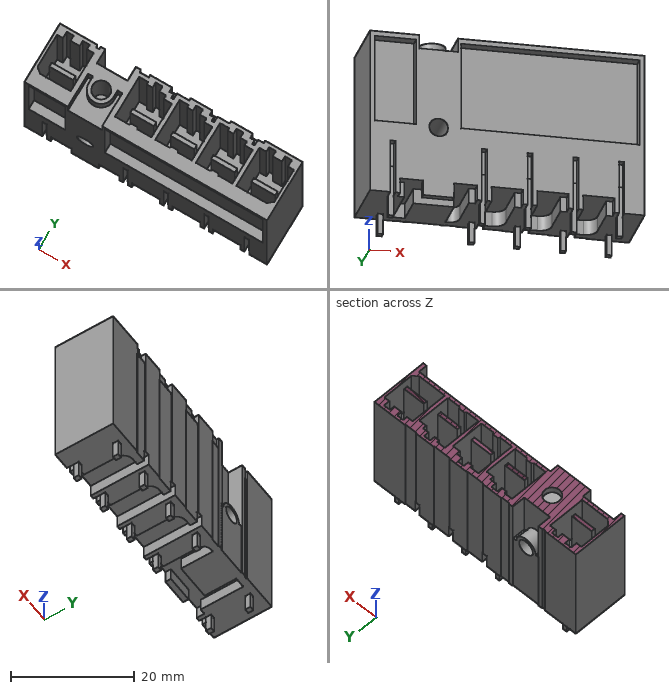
import cadquery as cq


LENGTH = 45.7
DEPTH = 11.4
TOTAL_HEIGHT = 31.8
PIN_DROP = 3.5
HEIGHT = TOTAL_HEIGHT - PIN_DROP
POSITIONS = 6
PITCH = LENGTH / POSITIONS
FLANGE_X = 1.5 * PITCH
FIRST_POLE_X = 0.5 * PITCH
INNER_POLES_X = [(n + 0.5) * PITCH for n in (2, 3, 4)]
LAST_POLE_X = LENGTH - FIRST_POLE_X
POLES_X = [FIRST_POLE_X, *INNER_POLES_X, LAST_POLE_X]

BLADE_WIDTH = 4.5
BLADE_THICKNESS = 0.8
BLADE_TOP_DEPTH = 4.55
BLADE_TOP = HEIGHT - BLADE_TOP_DEPTH
PIN_WIDTH = 0.85
PIN_DEPTH = 1.0
PIN_FRONT = 1.33
CROSSBAR_TOP = 5.15
BLADE_Y = DEPTH / 2
PIN_BACK = DEPTH - PIN_FRONT
PIN_SLOT_TOP = 9.15

WINDOW_BOTTOM = 12.45
POCKET_FLOOR = WINDOW_BOTTOM
POCKET_FRONT = 2.45
POCKET_HALF = 3.45
KEYWAY_BACK = 10.75
KEY_FACE = 9.75
END_POCKET_WALL = 0.55
END_CHAMFER_X = 0.95
END_CHAMFER_Y = 0.82
END_OUTER_BACK = 9.5
END_INNER_BACK = 9.88
KEYWAY_OFFSET = 1.5
KEYWAY_WIDTH = 1.3
INNER_LEFT_BACK = 10.2
INNER_LEFT_STEP = 1.75
INNER_RIGHT_BACK = 9.0
INNER_RIGHT_STEP = 1.87
RIB_BASE = 1.55
RIB_TOP = 1.2
RIB_HEIGHT = 0.3

WINDOW_DEPTH = 1.75
WINDOW_TOP_MARGIN = 0.85
WINDOW_END_MARGIN = 0.82
WINDOW_TO_FLANGE = 3.75

FLANGE_CUT_WIDTH = 6.45
FLANGE_CUT_BACK = 6.45
FLANGE_CUT_DEPTH = 2.4
SCREW_Y = 5.15
SCREW_BOSS_RADIUS = 2.35
SCREW_HOLE_RADIUS = 1.6
SCREW_HOLE_DEPTH = 9.15
CROSS_Z = 12.2
CROSS_HOLE_RADIUS = 1.55
CROSS_BOSS_RADIUS = 2.2
BACK_CUT_WIDTH = 5.75
BACK_CUT_FRONT = 8.7

BACK_GROOVE_DEPTH = 0.15
BACK_GROOVE_FLOOR = DEPTH - BACK_GROOVE_DEPTH
BACK_NOTCH_DEPTH = FLANGE_CUT_DEPTH
BACK_NOTCH_FLOOR = 10.93
BACK_STEP_FLOOR = 10.55
BACK_SLOT_FLOOR = 9.85
RIDGE_HALF = 2.05
END_RIDGE_HALF = 3.25
STEP_END = 2.85
SLOT_END = 3.3
FLANGE_NOTCH_LEFT = 3.8
END_NOTCH_WIDTH = 0.6

FOOT_HEIGHT = 2.55
FOOT_HALF = 1.2
FOOT_NECK_DEPTH = 1.5
FOOT_WIDE_HALF = 2.25
CAVITY_BACK = DEPTH - FOOT_NECK_DEPTH
CAVITY_FILLET = 1.9
FLANGE_CAVITY_FILLET = 1.6
GAP_END = 2.3
FLANGE_FOOT_HALF = 2.55
FLANGE_FOOT_DEPTH = 1.1
FLANGE_BLOCK_HALF = 3.4
FLANGE_BLOCK_FRONT = 3.65


def box(x0, x1, y0, y1, z0, z1):
    """Axis-aligned block between opposite corners."""
    return cq.Workplane("XY").box(x1 - x0, y1 - y0, z1 - z0, centered=False).translate((x0, y0, z0))


def prism(points, z0, z1):
    """Closed outline in X and Y, extruded from z0 to z1."""
    return cq.Workplane("XY").workplane(offset=z0).polyline(points).close().extrude(z1 - z0)


def end_pocket():
    """Pocket of the first pole, with two keyways and a chamfered outer corner."""
    left = END_POCKET_WALL
    right = FIRST_POLE_X + POCKET_HALF
    outer_key = FIRST_POLE_X - KEYWAY_OFFSET
    inner_key = FIRST_POLE_X + KEYWAY_OFFSET
    half_key = KEYWAY_WIDTH / 2
    outline = [
        (left + END_CHAMFER_X, POCKET_FRONT),
        (right, POCKET_FRONT),
        (right, END_INNER_BACK),
        (inner_key + half_key, END_INNER_BACK),
        (inner_key + half_key, KEYWAY_BACK),
        (inner_key - half_key, KEYWAY_BACK),
        (inner_key - half_key, KEY_FACE),
        (outer_key + half_key, KEY_FACE),
        (outer_key + half_key, KEYWAY_BACK),
        (outer_key - half_key, KEYWAY_BACK),
        (outer_key - half_key, END_OUTER_BACK),
        (left, END_OUTER_BACK),
        (left, POCKET_FRONT + END_CHAMFER_Y),
    ]
    return prism(outline, POCKET_FLOOR, HEIGHT)


def inner_pocket(x):
    """Pocket of an inner pole, with one keyway and a small rib on its front wall."""
    half_key = KEYWAY_WIDTH / 2
    outline = [
        (x - POCKET_HALF, POCKET_FRONT),
        (x - RIB_BASE / 2, POCKET_FRONT),
        (x - RIB_TOP / 2, POCKET_FRONT + RIB_HEIGHT),
        (x + RIB_TOP / 2, POCKET_FRONT + RIB_HEIGHT),
        (x + RIB_BASE / 2, POCKET_FRONT),
        (x + POCKET_HALF, POCKET_FRONT),
        (x + POCKET_HALF, INNER_RIGHT_BACK),
        (x + INNER_RIGHT_STEP, INNER_RIGHT_BACK),
        (x + INNER_RIGHT_STEP, KEY_FACE),
        (x + half_key, KEY_FACE),
        (x + half_key, KEYWAY_BACK),
        (x - half_key, KEYWAY_BACK),
        (x - half_key, KEY_FACE),
        (x - INNER_LEFT_STEP, KEY_FACE),
        (x - INNER_LEFT_STEP, INNER_LEFT_BACK),
        (x - POCKET_HALF, INNER_LEFT_BACK),
    ]
    return prism(outline, POCKET_FLOOR, HEIGHT)


def cut_pockets(body):
    first = end_pocket()
    last = first.mirror("YZ", (LENGTH / 2, 0, 0))
    body = body.cut(first).cut(last)
    for x in INNER_POLES_X:
        body = body.cut(inner_pocket(x))
    return body


def cut_front_windows(body):
    spans = [
        (WINDOW_END_MARGIN, FLANGE_X - WINDOW_TO_FLANGE),
        (FLANGE_X + WINDOW_TO_FLANGE, LENGTH - WINDOW_END_MARGIN),
    ]
    for left, right in spans:
        body = body.cut(box(left, right, 0, WINDOW_DEPTH, WINDOW_BOTTOM, HEIGHT - WINDOW_TOP_MARGIN))
    return body


def cut_back_face(body):
    """Shallow full-height grooves between the ridges, with deeper stepped notches at the top."""
    notch_z = HEIGHT - BACK_NOTCH_DEPTH

    def back_cut(left, right, floor, bottom):
        return box(left, right, floor, DEPTH, bottom, HEIGHT)

    end_notch = FIRST_POLE_X + END_RIDGE_HALF
    flange_notch = INNER_POLES_X[0] - FLANGE_NOTCH_LEFT
    plain_notches = [
        (end_notch, end_notch + END_NOTCH_WIDTH),
        (flange_notch, INNER_POLES_X[0] - RIDGE_HALF),
    ]
    for left, right in plain_notches:
        body = body.cut(back_cut(left, right, BACK_GROOVE_FLOOR, 0))
        body = body.cut(back_cut(left, right, BACK_NOTCH_FLOOR, notch_z))

    for x in INNER_POLES_X:
        next_ridge = END_RIDGE_HALF if x == INNER_POLES_X[-1] else RIDGE_HALF
        right = x + PITCH - next_ridge
        body = body.cut(back_cut(x + RIDGE_HALF, right, BACK_GROOVE_FLOOR, 0))
        body = body.cut(back_cut(x + RIDGE_HALF, x + STEP_END, BACK_STEP_FLOOR, notch_z))
        body = body.cut(back_cut(x + STEP_END, x + SLOT_END, BACK_SLOT_FLOOR, notch_z))
        body = body.cut(back_cut(x + SLOT_END, right, BACK_NOTCH_FLOOR, notch_z))
    return body


def shape_flange(body):
    """Front recess around an upright screw boss, and a back recess over the upper half of a cross boss."""
    half = FLANGE_CUT_WIDTH / 2
    recess_floor = HEIGHT - FLANGE_CUT_DEPTH
    recess = box(FLANGE_X - half, FLANGE_X + half, 0, FLANGE_CUT_BACK, recess_floor, HEIGHT)
    boss = (
        cq.Workplane("XY", origin=(FLANGE_X, SCREW_Y, recess_floor))
        .circle(SCREW_BOSS_RADIUS)
        .extrude(FLANGE_CUT_DEPTH)
    )
    web = box(
        FLANGE_X - SCREW_BOSS_RADIUS,
        FLANGE_X + SCREW_BOSS_RADIUS,
        SCREW_Y,
        FLANGE_CUT_BACK,
        recess_floor,
        HEIGHT,
    )
    body = body.cut(recess.cut(boss).cut(web))
    screw_hole = (
        cq.Workplane("XY", origin=(FLANGE_X, SCREW_Y, HEIGHT))
        .circle(SCREW_HOLE_RADIUS)
        .extrude(-SCREW_HOLE_DEPTH)
    )
    body = body.cut(screw_hole)

    back_half = BACK_CUT_WIDTH / 2
    back_left = FLANGE_X - back_half
    back_right = FLANGE_X + back_half
    body = body.cut(box(back_left, back_right, BACK_GROOVE_FLOOR, DEPTH, 0, HEIGHT))
    back_recess = box(back_left, back_right, BACK_CUT_FRONT, DEPTH, CROSS_Z, HEIGHT)
    cross_boss = (
        cq.Workplane("XZ", origin=(FLANGE_X, BACK_GROOVE_FLOOR, CROSS_Z))
        .circle(CROSS_BOSS_RADIUS)
        .extrude(BACK_GROOVE_FLOOR - BACK_CUT_FRONT)
    )
    body = body.cut(back_recess.cut(cross_boss))
    cross_hole = (
        cq.Workplane("XZ", origin=(FLANGE_X, DEPTH, CROSS_Z)).circle(CROSS_HOLE_RADIUS).extrude(DEPTH)
    )
    return body.cut(cross_hole)


def foot_cavity(left, right, corner_radius):
    """Space between two feet, rounded in its back right corner."""
    cavity = box(left, right, FOOT_NECK_DEPTH, CAVITY_BACK, 0, FOOT_HEIGHT)
    return cavity.edges("|Z and >X and >Y").fillet(corner_radius)


def cut_underside(body):
    """Leave separate feet under the poles and the flange."""
    for left_pole, right_pole in zip(POLES_X[1:], POLES_X[2:]):
        left = left_pole + FOOT_HALF
        body = body.cut(box(left, right_pole - FOOT_HALF, 0, FOOT_NECK_DEPTH, 0, FOOT_HEIGHT))
        body = body.cut(foot_cavity(left, right_pole - FOOT_WIDE_HALF, CAVITY_FILLET))
        body = body.cut(box(left, left_pole + GAP_END, CAVITY_BACK, DEPTH, 0, FOOT_HEIGHT))

    before = FIRST_POLE_X + FOOT_HALF
    before_wide = FIRST_POLE_X + FOOT_WIDE_HALF
    after = INNER_POLES_X[0] - FOOT_HALF
    after_wide = INNER_POLES_X[0] - FOOT_WIDE_HALF
    foot_left = FLANGE_X - FLANGE_FOOT_HALF
    foot_right = FLANGE_X + FLANGE_FOOT_HALF
    block_left = FLANGE_X - FLANGE_BLOCK_HALF
    block_right = FLANGE_X + FLANGE_BLOCK_HALF
    body = body.cut(box(before, foot_left, 0, FOOT_NECK_DEPTH, 0, FOOT_HEIGHT))
    body = body.cut(box(foot_right, after, 0, FOOT_NECK_DEPTH, 0, FOOT_HEIGHT))
    body = body.cut(box(before_wide, block_left, FOOT_NECK_DEPTH, CAVITY_BACK, 0, FOOT_HEIGHT))
    body = body.cut(foot_cavity(block_right, after_wide, FLANGE_CAVITY_FILLET))
    behind_foot = box(before_wide, after_wide, FLANGE_FOOT_DEPTH, FLANGE_BLOCK_FRONT, 0, FOOT_HEIGHT)
    return body.cut(behind_foot)


def cut_pin_slots(body):
    """Slots in the front face that lay the front pins open."""
    for x in POLES_X:
        body = body.cut(box(x - PIN_WIDTH / 2, x + PIN_WIDTH / 2, 0, PIN_FRONT, 0, PIN_SLOT_TOP))
    return body


def make_contact(x):
    """Upright blade on a crossbar that carries a front and a back solder pin."""
    half_pin = PIN_WIDTH / 2
    left = x - half_pin
    right = x + half_pin
    half_blade = BLADE_WIDTH / 2
    blade_front = BLADE_Y - BLADE_THICKNESS / 2
    blade_back = BLADE_Y + BLADE_THICKNESS / 2
    blade = box(x - half_blade, x + half_blade, blade_front, blade_back, CROSSBAR_TOP, BLADE_TOP)
    crossbar = box(left, right, PIN_FRONT, PIN_BACK, FOOT_HEIGHT, CROSSBAR_TOP)
    front_pin = box(left, right, PIN_FRONT, PIN_FRONT + PIN_DEPTH, -PIN_DROP, FOOT_HEIGHT)
    back_pin = box(left, right, PIN_BACK - PIN_DEPTH, PIN_BACK, -PIN_DROP, FOOT_HEIGHT)
    return blade.union(crossbar).union(front_pin).union(back_pin)


def make_housing(contacts):
    body = box(0, LENGTH, 0, DEPTH, 0, HEIGHT)
    body = cut_pockets(body)
    body = cut_front_windows(body)
    body = cut_back_face(body)
    body = shape_flange(body)
    body = cut_underside(body)
    body = cut_pin_slots(body)
    for contact in contacts:
        body = body.cut(contact)
    return body


contacts = [make_contact(x) for x in POLES_X]
housing = make_housing(contacts)
result = cq.Compound.makeCompound([housing.val(), *[contact.val() for contact in contacts]])